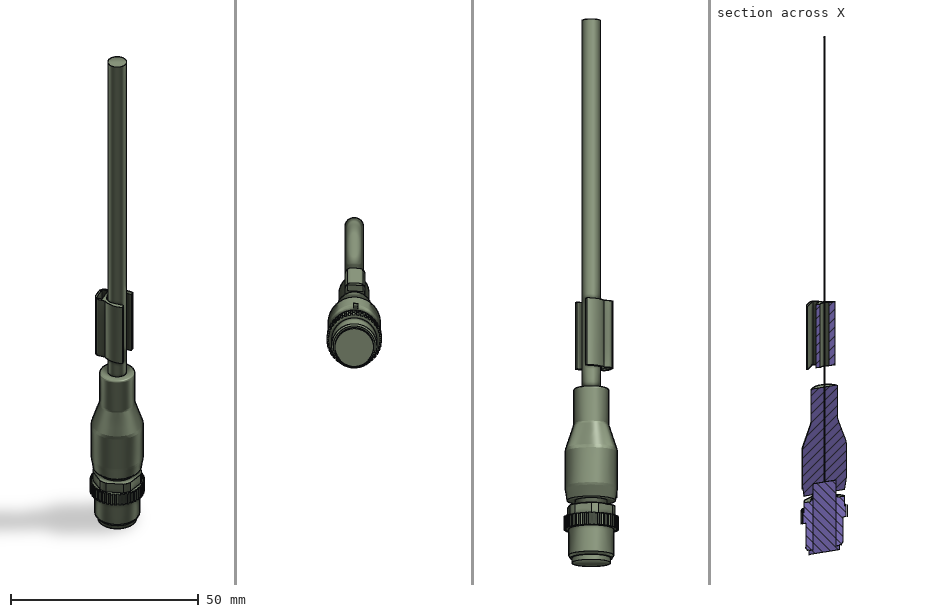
import cadquery as cq
import math

CARRIER_STEP_Z = 1.3
KNURL_BOTTOM_Z = 9.1
KNURL_TOP_Z = 12.3
NUT_TOP_Z = 15.1
GRIP_BOTTOM_Z = 16.9
GRIP_TAPER_Z = 20.1
GRIP_SHOULDER_Z = 30.5
GRIP_NECK_Z = 37.3
GRIP_TOP_Z = 47.2
SLEEVE_BOTTOM_Z = 52.9
SLEEVE_TOP_Z = 71.0
CABLE_TOP_Z = 147.0

CABLE_RADIUS = 2.5
CARRIER_RADIUS = 4.3
CARRIER_FOOT_RADIUS = 5.1
CARRIER_TOP_Z = GRIP_TAPER_Z

GRIP_RADIUS = 6.98
GRIP_BOTTOM_RADIUS = 6.5
GRIP_NECK_RADIUS = 4.7
GRIP_TOP_FILLET = 0.6
GRIP_NECK_FILLET = 1.5
GRIP_SHOULDER_FILLET = 3.0
GRIP_TAPER_FILLET = 4.4
RIB_WIDTH = 1.2
RIB_TOP_Z = 21.8
RIB_BOTTOM_Z = 18.2
RIB_PROTRUSION = 0.22
RIB_DEPTH = 1.5

THREAD_RADIUS = 6.0
THREAD_CHAMFER_RADIAL = 0.5
THREAD_CHAMFER_AXIAL = 0.7
HEX_ACROSS_FLATS = 12.0
HEX_CORNER_RADIUS = 6.5
KNURL_RADIUS = 7.28
KNURL_COUNT = 40
KNURL_GROOVE_WIDTH = 0.6
KNURL_GROOVE_DEPTH = 0.5
COLLAR_RADIUS = 4.7
COLLAR_HEIGHT = 0.5

DIAGONAL = -45.0
SLEEVE_HALF_WIDTH = 4.04
SLEEVE_SIDE_RADIUS = 5.9
SLEEVE_WIDEST_Y = 1.3
SLEEVE_BACK_Y = 3.0
POCKET_HALF_WIDTH = 2.6
POCKET_FRONT_Y = -5.7
POCKET_CORNER_RADIUS = 1.6
SLOT_WIDTH = 4.1
SLOT_BACK_Y = -3.5
SLOT_FRONT_Y = -5.1
SLEEVE_BORE_RADIUS = 2.8


def cylinder(radius, bottom, top):
    return cq.Workplane("XY", origin=(0, 0, bottom)).circle(radius).extrude(top - bottom)


def edges_at(height):
    """Selector for the edges that lie in the horizontal plane at the given height."""
    reach = 2 * GRIP_RADIUS
    margin = 0.01
    return cq.selectors.BoxSelector(
        (-reach, -reach, height - margin), (reach, reach, height + margin), boundingbox=True
    )


def make_cable():
    return cylinder(CABLE_RADIUS, CARRIER_TOP_Z, CABLE_TOP_Z)


def make_carrier():
    foot = cylinder(CARRIER_FOOT_RADIUS, 0, CARRIER_STEP_Z)
    return foot.union(cylinder(CARRIER_RADIUS, 0, CARRIER_TOP_Z))


def make_grip():
    profile = [
        (0, GRIP_BOTTOM_Z),
        (GRIP_BOTTOM_RADIUS, GRIP_BOTTOM_Z),
        (GRIP_RADIUS, GRIP_TAPER_Z),
        (GRIP_RADIUS, GRIP_SHOULDER_Z),
        (GRIP_NECK_RADIUS, GRIP_NECK_Z),
        (GRIP_NECK_RADIUS, GRIP_TOP_Z),
        (0, GRIP_TOP_Z),
    ]
    grip = cq.Workplane("XZ").polyline(profile).close().revolve(360, (0, 0), (0, 1))
    fillets = [
        (GRIP_TAPER_Z, GRIP_TAPER_FILLET),
        (GRIP_SHOULDER_Z, GRIP_SHOULDER_FILLET),
        (GRIP_NECK_Z, GRIP_NECK_FILLET),
        (GRIP_TOP_Z, GRIP_TOP_FILLET),
    ]
    for height, radius in fillets:
        grip = grip.edges(edges_at(height)).fillet(radius)

    rib = (
        cq.Workplane("XY", origin=(0, RIB_DEPTH / 2 - GRIP_RADIUS - RIB_PROTRUSION, RIB_BOTTOM_Z))
        .rect(RIB_WIDTH, RIB_DEPTH)
        .extrude(RIB_TOP_Z - RIB_BOTTOM_Z)
        .rotate((0, 0, 0), (0, 0, 1), DIAGONAL)
    )
    cable_hole = cylinder(CABLE_RADIUS, CARRIER_TOP_Z, GRIP_TOP_Z)
    carrier_socket = cylinder(CARRIER_RADIUS, GRIP_BOTTOM_Z, CARRIER_TOP_Z)
    return grip.union(rib).cut(cable_hole).cut(carrier_socket)


def make_knurl():
    knurl = cylinder(KNURL_RADIUS, KNURL_BOTTOM_Z, KNURL_TOP_Z)
    pitch = 360 / KNURL_COUNT
    grooves = (
        cq.Workplane("XY", origin=(0, 0, KNURL_BOTTOM_Z))
        .polarArray(KNURL_RADIUS, pitch / 2, 360, KNURL_COUNT)
        .rect(2 * KNURL_GROOVE_DEPTH, KNURL_GROOVE_WIDTH)
        .extrude(KNURL_TOP_Z - KNURL_BOTTOM_Z)
    )
    return knurl.cut(grooves)


def make_nut():
    thread = cylinder(THREAD_RADIUS, CARRIER_STEP_Z, KNURL_BOTTOM_Z)
    thread = thread.faces("<Z").chamfer(THREAD_CHAMFER_AXIAL, THREAD_CHAMFER_RADIAL)

    hex_across_corners = HEX_ACROSS_FLATS / math.cos(math.radians(30))
    hexagon = (
        cq.Workplane("XY", origin=(0, 0, KNURL_TOP_Z))
        .polygon(6, hex_across_corners)
        .extrude(NUT_TOP_Z - KNURL_TOP_Z)
        .intersect(cylinder(HEX_CORNER_RADIUS, KNURL_TOP_Z, NUT_TOP_Z))
    )
    collar = cylinder(COLLAR_RADIUS, NUT_TOP_Z, NUT_TOP_Z + COLLAR_HEIGHT)
    bore = cylinder(CARRIER_RADIUS, CARRIER_STEP_Z, NUT_TOP_Z + COLLAR_HEIGHT)
    return make_knurl().union(thread).union(hexagon).union(collar).cut(bore)


def make_label_sleeve():
    height = SLEEVE_TOP_Z - SLEEVE_BOTTOM_Z
    base = cq.Workplane("XY", origin=(0, 0, SLEEVE_BOTTOM_Z))

    arc_centre_x = SLEEVE_HALF_WIDTH - SLEEVE_SIDE_RADIUS
    side_reach = POCKET_HALF_WIDTH - arc_centre_x
    side_front_y = SLEEVE_WIDEST_Y - math.sqrt(SLEEVE_SIDE_RADIUS**2 - side_reach**2)
    back_offset = SLEEVE_BACK_Y - SLEEVE_WIDEST_Y
    back_half_width = arc_centre_x + math.sqrt(SLEEVE_SIDE_RADIUS**2 - back_offset**2)
    clip = (
        base.moveTo(-POCKET_HALF_WIDTH, side_front_y)
        .lineTo(POCKET_HALF_WIDTH, side_front_y)
        .threePointArc((SLEEVE_HALF_WIDTH, SLEEVE_WIDEST_Y), (back_half_width, SLEEVE_BACK_Y))
        .lineTo(-back_half_width, SLEEVE_BACK_Y)
        .threePointArc((-SLEEVE_HALF_WIDTH, SLEEVE_WIDEST_Y), (-POCKET_HALF_WIDTH, side_front_y))
        .close()
        .extrude(height)
    )

    pocket = (
        base.center(0, POCKET_FRONT_Y / 2)
        .rect(2 * POCKET_HALF_WIDTH, -POCKET_FRONT_Y)
        .extrude(height)
        .edges("|Z and <Y")
        .fillet(POCKET_CORNER_RADIUS)
    )
    slot = (
        base.center(0, (SLOT_BACK_Y + SLOT_FRONT_Y) / 2)
        .rect(SLOT_WIDTH, SLOT_BACK_Y - SLOT_FRONT_Y)
        .extrude(height)
    )

    bore = cylinder(SLEEVE_BORE_RADIUS, SLEEVE_BOTTOM_Z, SLEEVE_TOP_Z)
    mouth = base.center(0, SLEEVE_BACK_Y / 2).rect(2 * SLEEVE_BORE_RADIUS, SLEEVE_BACK_Y).extrude(height)

    sleeve = clip.union(pocket).cut(slot).cut(bore).cut(mouth)
    return sleeve.rotate((0, 0, 0), (0, 0, 1), DIAGONAL)


cable = make_cable()
carrier = make_carrier()
grip = make_grip()
nut = make_nut()
label_sleeve = make_label_sleeve()

result = cq.Compound.makeCompound(
    [cable.val(), carrier.val(), grip.val(), nut.val(), label_sleeve.val()]
)